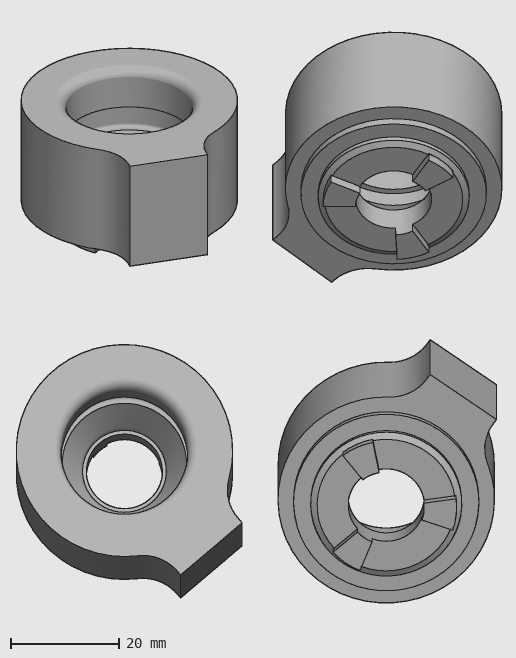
import cadquery as cq
import math

length = 44.5
body_diameter = 39.95
body_height = 21.0
body_radius = body_diameter / 2
lug_end_x = length - body_radius
lug_half_width = 7.5
lug_blend_radius = 8.25

flange_diameter = 34.2
flange_height = 1.5
collar_diameter = 27.9
collar_height = 1.55
collar_bottom_diameter = 25.5
collar_chamfer_height = 0.62

dog_height = 1.9
dog_outer_diameter = 26.0
dog_span_angle = 27.2
dog_center_angles = (60, 180, 300)

mouth_radius = 2.0
mouth_width = 1.95
bore_diameter = 23.35
bore_depth = 7.85
undercut_diameter = 25.5
undercut_depth = 12.55
undercut_fillet = 0.65
seat_top_diameter = 22.95
seat_bottom_diameter = 16.0
seat_height = 5.8
ledge_diameter = 15.45
ledge_drop = 0.65
through_diameter = 14.0

collar_bottom_z = dog_height
flange_bottom_z = collar_bottom_z + collar_height
body_bottom_z = flange_bottom_z + flange_height
top_z = body_bottom_z + body_height


def make_body():
    """Round body whose lug is joined by two tangent concave arcs."""
    blend_center_y = lug_half_width + lug_blend_radius
    center_distance = body_radius + lug_blend_radius
    blend_center_x = math.sqrt(center_distance**2 - blend_center_y**2)
    join_x = blend_center_x * body_radius / center_distance
    join_y = blend_center_y * body_radius / center_distance
    join_angle = math.atan2(join_y - blend_center_y, join_x - blend_center_x)
    middle_angle = (join_angle - math.pi / 2) / 2
    middle_x = blend_center_x + lug_blend_radius * math.cos(middle_angle)
    middle_y = blend_center_y + lug_blend_radius * math.sin(middle_angle)
    return (
        cq.Workplane("XY", origin=(0, 0, body_bottom_z))
        .moveTo(lug_end_x, -lug_half_width)
        .lineTo(lug_end_x, lug_half_width)
        .lineTo(blend_center_x, lug_half_width)
        .threePointArc((middle_x, middle_y), (join_x, join_y))
        .threePointArc((-body_radius, 0), (join_x, -join_y))
        .threePointArc((middle_x, -middle_y), (blend_center_x, -lug_half_width))
        .close()
        .extrude(body_height)
    )


def make_spigot():
    """Flange and chamfered collar turned about the bore axis."""
    profile = [
        (0, collar_bottom_z),
        (collar_bottom_diameter / 2, collar_bottom_z),
        (collar_diameter / 2, collar_bottom_z + collar_chamfer_height),
        (collar_diameter / 2, flange_bottom_z),
        (flange_diameter / 2, flange_bottom_z),
        (flange_diameter / 2, body_bottom_z),
        (0, body_bottom_z),
    ]
    return cq.Workplane("XZ").polyline(profile).close().revolve(360, (0, 0), (0, 1))


def make_dog(center_angle):
    """Wedge from the axis outwards; the through hole trims its inner end."""
    def on_rim(angle):
        radians = math.radians(angle)
        return dog_outer_diameter / 2 * math.cos(radians), dog_outer_diameter / 2 * math.sin(radians)

    half_span = dog_span_angle / 2
    return (
        cq.Workplane("XY")
        .moveTo(0, 0)
        .lineTo(*on_rim(center_angle - half_span))
        .threePointArc(on_rim(center_angle), on_rim(center_angle + half_span))
        .close()
        .extrude(dog_height)
    )


def make_bore():
    """Rounded mouth, undercut, conical seat and through hole as one turned cutter."""
    bore_radius = bore_diameter / 2
    undercut_radius = undercut_diameter / 2
    lip_z = top_z - bore_depth
    floor_z = top_z - undercut_depth
    seat_bottom_z = floor_z - seat_height
    ledge_z = seat_bottom_z - ledge_drop
    diagonal = math.sqrt(0.5)
    mouth_angle = math.asin(mouth_width / mouth_radius)
    mouth_drop = mouth_radius * (1 - math.cos(mouth_angle))
    mouth_middle = (
        bore_radius + mouth_width - mouth_radius * math.sin(mouth_angle / 2),
        top_z - mouth_radius * (1 - math.cos(mouth_angle / 2)),
    )
    corner_middle = (
        undercut_radius - undercut_fillet * (1 - diagonal),
        floor_z + undercut_fillet * (1 - diagonal),
    )
    return (
        cq.Workplane("XZ")
        .moveTo(0, top_z)
        .lineTo(bore_radius + mouth_width, top_z)
        .threePointArc(mouth_middle, (bore_radius, top_z - mouth_drop))
        .lineTo(bore_radius, lip_z)
        .lineTo(undercut_radius, lip_z)
        .lineTo(undercut_radius, floor_z + undercut_fillet)
        .threePointArc(corner_middle, (undercut_radius - undercut_fillet, floor_z))
        .lineTo(seat_top_diameter / 2, floor_z)
        .lineTo(seat_bottom_diameter / 2, seat_bottom_z)
        .lineTo(ledge_diameter / 2, ledge_z)
        .lineTo(through_diameter / 2, ledge_z)
        .lineTo(through_diameter / 2, 0)
        .lineTo(0, 0)
        .close()
        .revolve(360, (0, 0), (0, 1))
    )


result = make_body().union(make_spigot())
for dog_center_angle in dog_center_angles:
    result = result.union(make_dog(dog_center_angle))
result = result.cut(make_bore())